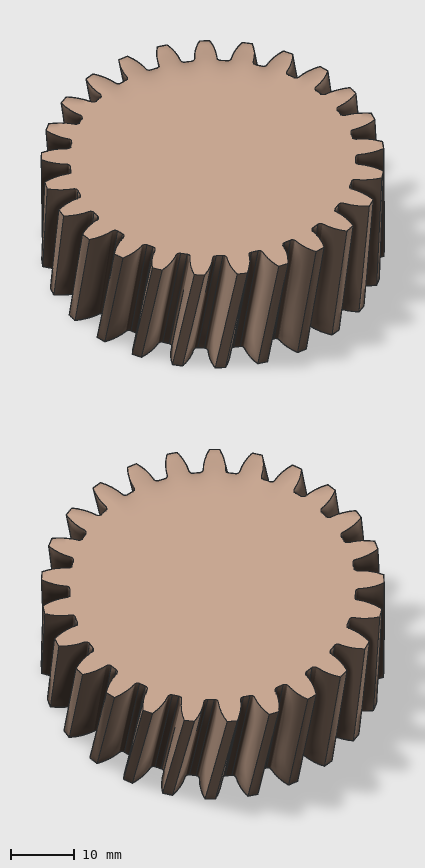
import cadquery as cq
import math

tip_diameter = 54.0
face_width = 20.0
tooth_count = 25
helix_angle = math.radians(9.2)
top_phase = 0.15
root_fillet = 0.6
dedendum_ratio = 1.25

tip_thickness = 1.6
pitch_thickness = 3.1
root_thickness = 3.5

module = tip_diameter / (tooth_count + 2)
tip_radius = tip_diameter / 2
pitch_radius = tooth_count * module / 2
root_radius = pitch_radius - dedendum_ratio * module
tooth_pitch = 2 * math.pi / tooth_count

twist = math.degrees(face_width * math.tan(helix_angle) / pitch_radius)


def polar(radius, angle):
    return (radius * math.cos(angle), radius * math.sin(angle))


def half_angle(thickness, radius):
    """Angle from the tooth centre line to a flank, from the tooth thickness."""
    return math.asin(thickness / 2 / radius)


def sharp_outline():
    """Closed outline of all the teeth, with the first tooth centred on +X."""
    tip = half_angle(tip_thickness, tip_radius)
    pitch = half_angle(pitch_thickness, pitch_radius)
    root = half_angle(root_thickness, root_radius)
    outline = cq.Workplane("XY").moveTo(*polar(root_radius, -root))
    for tooth in range(tooth_count):
        centre = tooth * tooth_pitch
        gap_centre = centre + tooth_pitch / 2
        next_root = centre + tooth_pitch - root
        outline = (
            outline
            .threePointArc(polar(pitch_radius, centre - pitch), polar(tip_radius, centre - tip))
            .threePointArc(polar(tip_radius, centre), polar(tip_radius, centre + tip))
            .threePointArc(polar(pitch_radius, centre + pitch), polar(root_radius, centre + root))
            .threePointArc(polar(root_radius, gap_centre), polar(root_radius, next_root))
        )
    return outline.close().val()


def gear_outline():
    """Tooth outline with the root corners rounded."""
    outline = sharp_outline()
    root_corners = [v for v in outline.Vertices() if math.hypot(v.X, v.Y) < pitch_radius]
    return outline.fillet2D(root_fillet, root_corners)


gear = cq.Workplane("XY").add(gear_outline()).toPending().twistExtrude(face_width, twist)
result = gear.rotate((0, 0, 0), (0, 0, 1), top_phase - twist)